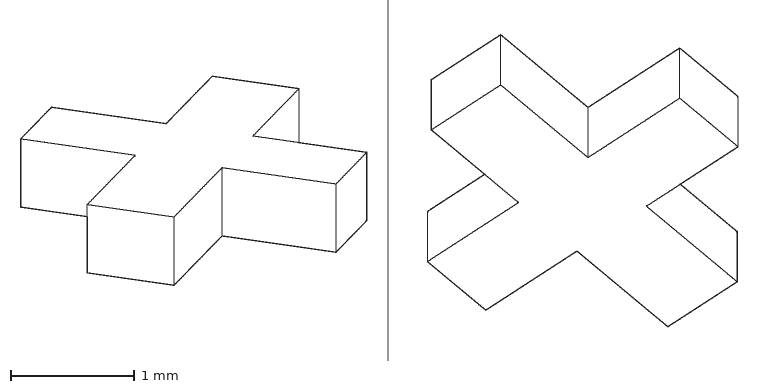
import cadquery as cq

length_x = 2.73
length_y = 2.9
thickness = 0.6

x_bar_width = 0.715
y_bar_width = 0.75

left_arm_length = 0.992
front_arm_length = 1.115

y_bar_center_x = -length_x / 2 + left_arm_length + y_bar_width / 2
x_bar_center_y = -length_y / 2 + front_arm_length + x_bar_width / 2

y_bar = (
    cq.Workplane("XY")
    .center(y_bar_center_x, 0)
    .box(y_bar_width, length_y, thickness)
)
x_bar = (
    cq.Workplane("XY")
    .center(0, x_bar_center_y)
    .box(length_x, x_bar_width, thickness)
)

result = y_bar.union(x_bar)